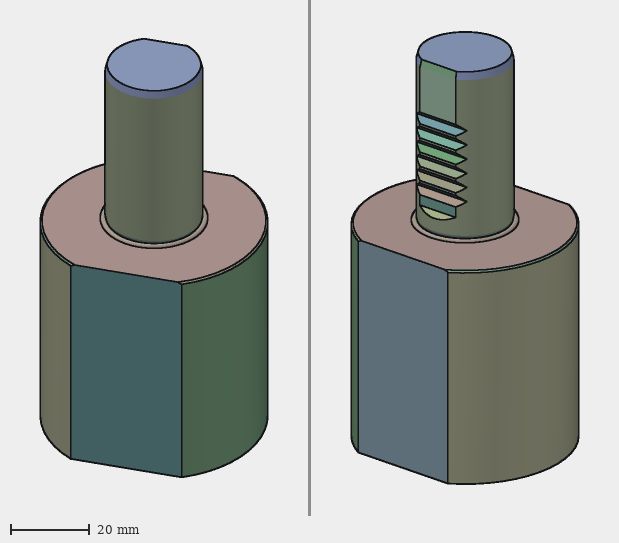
import cadquery as cq
import math

HOUSING_DIAMETER = 58.0
HOUSING_ACROSS_FLATS = 50.0
HOUSING_HEIGHT = 59.9
RIM_CHAMFER = 0.5

TOP_Z = 108.0
SHANK_DIAMETER = 25.0
TIP_CHAMFER_HEIGHT = 2.0
TIP_CHAMFER_ANGLE = 15.0
UNDERCUT_TOP_Z = 62.1
UNDERCUT_DEPTH = 0.2

LIP_DIAMETER = 27.4
LIP_RADIUS = 0.81
LIP_GAP = 0.8

FLAT_OFFSET = 11.0
FLAT_BOTTOM_Z = 67.2
FLAT_RUNOUT_ANGLE = 45.0
GROOVE_COUNT = 6
GROOVE_PITCH = 4.0
LOWEST_GROOVE_Z = 71.7
GROOVE_DEPTH = 1.6
GROOVE_ANGLE = 90.0

SHANK_RADIUS = SHANK_DIAMETER / 2
TIP_CHAMFER_DEPTH = TIP_CHAMFER_HEIGHT * math.tan(math.radians(TIP_CHAMFER_ANGLE))


def make_housing():
    """Chamfered disc trimmed to the width across the flats."""
    disc = cq.Workplane("XY").circle(HOUSING_DIAMETER / 2).extrude(HOUSING_HEIGHT)
    disc = disc.faces(">Z").edges().chamfer(RIM_CHAMFER)
    trim = cq.Workplane("XY").rect(HOUSING_DIAMETER, HOUSING_ACROSS_FLATS).extrude(HOUSING_HEIGHT)
    return disc.intersect(trim)


def make_shank_blank():
    """Turned shank with its lip, undercut and tapered tip."""
    lip_bottom_z = HOUSING_HEIGHT + LIP_GAP
    lip_outer = LIP_DIAMETER / 2
    lip_center = lip_outer - LIP_RADIUS
    crease_radius = SHANK_RADIUS - UNDERCUT_DEPTH
    crease_height = math.sqrt(LIP_RADIUS**2 - (lip_center - crease_radius) ** 2)
    return (
        cq.Workplane("XZ")
        .moveTo(0, lip_bottom_z)
        .lineTo(lip_outer, lip_bottom_z)
        .threePointArc((lip_center, lip_bottom_z + LIP_RADIUS), (crease_radius, lip_bottom_z + crease_height))
        .lineTo(SHANK_RADIUS, UNDERCUT_TOP_Z)
        .lineTo(SHANK_RADIUS, TOP_Z - TIP_CHAMFER_HEIGHT)
        .lineTo(SHANK_RADIUS - TIP_CHAMFER_DEPTH, TOP_Z)
        .lineTo(0, TOP_Z)
        .close()
        .revolve(360, (0, 0, 0), (0, 1, 0))
    )


def make_flat_cutter():
    """Prism that cuts the flat, its sloped lower end and its tapered tip."""
    outer_y = SHANK_DIAMETER
    runout_drop = (outer_y - FLAT_OFFSET) * math.tan(math.radians(FLAT_RUNOUT_ANGLE))
    return (
        cq.Workplane("YZ")
        .moveTo(outer_y, FLAT_BOTTOM_Z - runout_drop)
        .lineTo(FLAT_OFFSET, FLAT_BOTTOM_Z)
        .lineTo(FLAT_OFFSET, TOP_Z - TIP_CHAMFER_HEIGHT)
        .lineTo(FLAT_OFFSET - TIP_CHAMFER_DEPTH, TOP_Z)
        .lineTo(outer_y, TOP_Z)
        .close()
        .extrude(SHANK_RADIUS, both=True)
    )


def make_groove_cutter(center_z):
    """V prism along X with a sharp root below the flat."""
    root_y = FLAT_OFFSET - GROOVE_DEPTH
    half_width = GROOVE_DEPTH * math.tan(math.radians(GROOVE_ANGLE / 2))
    return (
        cq.Workplane("YZ")
        .moveTo(root_y, center_z)
        .lineTo(FLAT_OFFSET, center_z + half_width)
        .lineTo(FLAT_OFFSET, center_z - half_width)
        .close()
        .extrude(SHANK_RADIUS, both=True)
    )


def make_shank():
    """Shank blank with the flat and the row of teeth cut into it."""
    shank = make_shank_blank().cut(make_flat_cutter())
    for index in range(GROOVE_COUNT):
        shank = shank.cut(make_groove_cutter(LOWEST_GROOVE_Z + index * GROOVE_PITCH))
    return shank


housing = make_housing()
shank = make_shank()

result = cq.Compound.makeCompound([housing.val(), shank.val()])